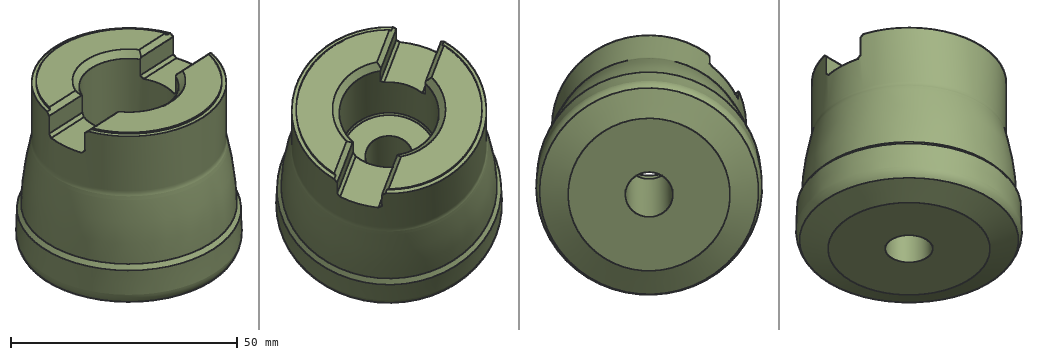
import cadquery as cq

total_height = 44.95
rim_step = 0.4
neck_base_z = 30.0
neck_fillet_end_z = 28.8
barrel_top_z = 27.9
barrel_middle_z = 21.0
ring_top_z = 12.2
ring_shoulder_z = 11.1
ring_widest_z = 4.75
ring_corner_z = 2.3

top_face_radius = 41.1 / 2
neck_radius = 43.0 / 2
neck_fillet_middle_radius = 21.56
neck_fillet_end_radius = 21.75
barrel_top_radius = 21.95
barrel_middle_radius = 23.2
barrel_base_radius = 47.7 / 2
ring_shoulder_radius = 24.8
ring_radius = 25.0
ring_corner_radius = 24.2
ring_inner_radius = 17.9

ring_bulge_radius = 24.75
ring_bulge_z = 3.4

bore_radius = 22.0 / 2
bore_depth = 20.0
bore_mouth_chamfer = 1.5
bore_floor_chamfer = 0.4
through_radius = 10.5 / 2
slot_width = 10.4
slot_depth = 6.6
slot_mouth_chamfer = 1.15
slot_floor_chamfer = 0.75


def revolve_profile(profile):
    """Turn a closed radius-height profile about the Z axis."""
    return profile.close().revolve(360, (0, 0, 0), (0, 1, 0))


def holder_blank():
    """Turned outside, with a spigot that fills the cutting ring."""
    fillet_middle_z = (neck_base_z + neck_fillet_end_z) / 2
    profile = (
        cq.Workplane("XZ")
        .lineTo(ring_inner_radius, 0)
        .lineTo(ring_inner_radius, ring_top_z)
        .lineTo(barrel_base_radius, ring_top_z)
        .threePointArc((barrel_middle_radius, barrel_middle_z), (barrel_top_radius, barrel_top_z))
        .lineTo(neck_fillet_end_radius, neck_fillet_end_z)
        .threePointArc((neck_fillet_middle_radius, fillet_middle_z), (neck_radius, neck_base_z))
        .lineTo(neck_radius, total_height - rim_step)
        .lineTo(top_face_radius, total_height - rim_step)
        .lineTo(top_face_radius, total_height)
        .lineTo(0, total_height)
    )
    return revolve_profile(profile)


def bore_cutter():
    """Stepped bore with a chamfered mouth, a chamfered floor and a through hole."""
    floor_z = total_height - bore_depth
    profile = (
        cq.Workplane("XZ")
        .lineTo(through_radius, 0)
        .lineTo(through_radius, floor_z)
        .lineTo(bore_radius - bore_floor_chamfer, floor_z)
        .lineTo(bore_radius, floor_z + bore_floor_chamfer)
        .lineTo(bore_radius, total_height - bore_mouth_chamfer)
        .lineTo(bore_radius + bore_mouth_chamfer, total_height)
        .lineTo(0, total_height)
    )
    return revolve_profile(profile)


def slot_cutter():
    """Driving slot along Y with chamfers at its floor and its mouth."""
    half_width = slot_width / 2
    floor_z = total_height - slot_depth
    right_side = [
        (half_width - slot_floor_chamfer, floor_z),
        (half_width, floor_z + slot_floor_chamfer),
        (half_width, total_height - slot_mouth_chamfer),
        (half_width + slot_mouth_chamfer, total_height),
    ]
    left_side = [(-x, z) for x, z in reversed(right_side)]
    outline = cq.Workplane("XZ").polyline(right_side + left_side).close()
    return outline.extrude(neck_radius + 0.5, both=True)


def make_holder():
    return holder_blank().cut(bore_cutter()).cut(slot_cutter())


def make_cutting_ring():
    """Ring around the spigot, conical below and rounded at its lower corner."""
    profile = (
        cq.Workplane("XZ")
        .moveTo(ring_inner_radius, 0)
        .lineTo(ring_corner_radius, ring_corner_z)
        .threePointArc((ring_bulge_radius, ring_bulge_z), (ring_radius, ring_widest_z))
        .lineTo(ring_shoulder_radius, ring_shoulder_z)
        .lineTo(barrel_base_radius, ring_top_z)
        .lineTo(ring_inner_radius, ring_top_z)
    )
    return revolve_profile(profile)


holder = make_holder()
cutting_ring = make_cutting_ring()
result = cq.Compound.makeCompound([holder.val(), cutting_ring.val()])